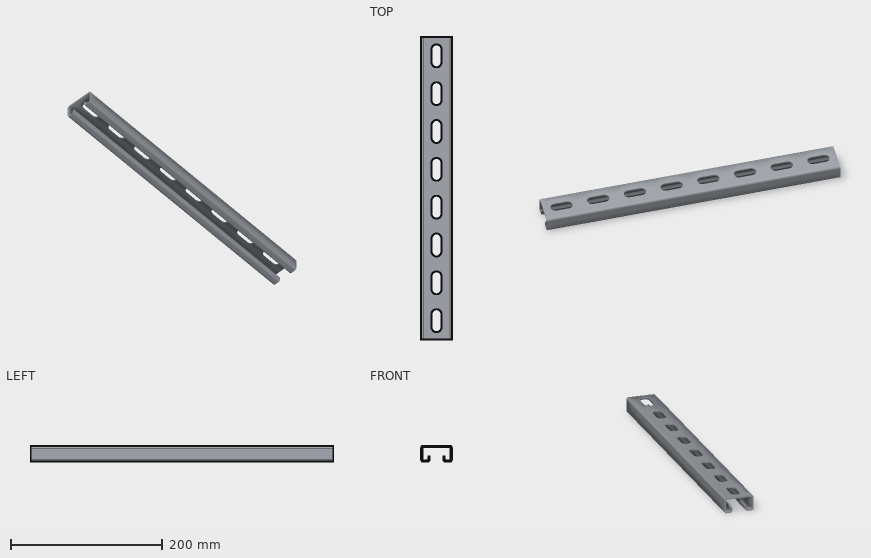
import cadquery as cq

WIDTH = 41.0
LENGTH = 400.0
HEIGHT = 21.0

SHEET = 2.0
INNER_BEND_RADIUS = 1.0
OUTER_BEND_RADIUS = INNER_BEND_RADIUS + SHEET

MOUTH_WIDTH = 18.0
LIP_HEIGHT = 7.0

SLOT_PITCH = 50.0
SLOT_COUNT = round(LENGTH / SLOT_PITCH)
SLOT_LENGTH = 30.0
SLOT_WIDTH = 13.0


def make_half_channel():
    """Half of the C section on the +X side: half the web, one side and one folded-up lip."""
    side_x = WIDTH / 2
    inner_side_x = side_x - SHEET
    mouth_x = MOUTH_WIDTH / 2
    lip_x = mouth_x + SHEET
    web_underside = HEIGHT - SHEET

    sharp_half = (
        cq.Workplane("XZ")
        .moveTo(0, HEIGHT)
        .lineTo(side_x, HEIGHT)
        .lineTo(side_x, 0)
        .lineTo(mouth_x, 0)
        .lineTo(mouth_x, LIP_HEIGHT)
        .lineTo(lip_x, LIP_HEIGHT)
        .lineTo(lip_x, SHEET)
        .lineTo(inner_side_x, SHEET)
        .lineTo(inner_side_x, web_underside)
        .lineTo(0, web_underside)
        .close()
        .extrude(LENGTH / 2, both=True)
    )

    outer_corners = [(side_x, HEIGHT), (side_x, 0), (mouth_x, 0)]
    inner_corners = [(inner_side_x, web_underside), (inner_side_x, SHEET), (lip_x, SHEET)]
    outer_bent = round_long_edges(sharp_half, outer_corners, OUTER_BEND_RADIUS)
    return round_long_edges(outer_bent, inner_corners, INNER_BEND_RADIUS)


def round_long_edges(body, corners, radius):
    """Round the edges along Y that pass through the given (x, z) corners."""
    for x, z in corners:
        body = body.edges(cq.NearestToPointSelector((x, 0, z))).fillet(radius)
    return body


def make_slots():
    """Slots cut down through the web, evenly spaced and centred on the length."""
    return (
        cq.Workplane("XY", origin=(0, 0, HEIGHT))
        .rarray(1, SLOT_PITCH, 1, SLOT_COUNT)
        .slot2D(SLOT_LENGTH, SLOT_WIDTH, angle=90)
        .extrude(-SHEET)
    )


half_channel = make_half_channel()
channel = half_channel.union(half_channel.mirror("YZ")).clean()
result = channel.cut(make_slots())